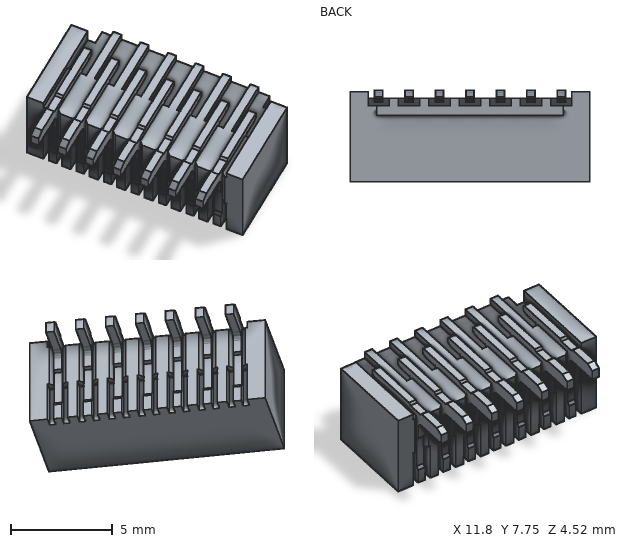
import cadquery as cq

length = 11.8
depth = 7.75
height = 4.52
contact_count = 7
pitch = 1.5

housing_front = 2.0
housing_depth = 5.0
housing_back = housing_front + housing_depth
core_height = 4.12
end_block_width = 0.9
end_block_height = 4.45
core_length = length - 2 * end_block_width

ledge_inset = 1.31
ledge_length = length - 2 * ledge_inset
ledge_bottom = 3.29

pocket_width = 1.05
pocket_front = 4.72
pocket_floor = 3.74

slot_width = 1.01
slot_height = 2.01
slot_depth = 0.57
groove_mouth_width = 0.84
groove_depth = 0.19
groove_bottom_width = groove_mouth_width - 2 * groove_depth

contact_width = 0.41
tip_slope_length = 0.4
tip_height = 4.32
arm_bottom = 3.78
notch_front = 1.72
notch_back = 2.81
notch_depth = 0.11
notch_front_slope = 0.07
notch_back_slope = 0.12
tail_end = 6.01
tail_bottom = 4.08
tail_top_radius = 0.1
tail_end_height = 0.24
tail_bottom_bevel = 0.3
root_bevel = 0.17
root_back = 4.99
leg_front = 2.02
leg_back = housing_front + slot_depth
elbow_radius = 0.31
leg_waist_offset = 0.12
waist_top = 2.68
waist_top_bevel = 0.12
waist_bottom = 0.97
waist_bottom_bevel = 0.17


def box(x_size, y_start, y_end, z_start, z_end, x_center=0.0):
    """Block centred on x_center in X, spanning the given ranges in Y and Z."""
    return (
        cq.Workplane("XY", origin=(x_center, 0, z_start))
        .moveTo(-x_size / 2, y_start)
        .lineTo(x_size / 2, y_start)
        .lineTo(x_size / 2, y_end)
        .lineTo(-x_size / 2, y_end)
        .close()
        .extrude(z_end - z_start)
    )


def end_block(side):
    x_center = side * (length - end_block_width) / 2
    return box(end_block_width, housing_front, housing_back, 0, end_block_height, x_center)


def pocket(x_center):
    return box(pocket_width, pocket_front, depth, pocket_floor, core_height, x_center)


def front_slot(x_center):
    return box(slot_width, housing_front, housing_front + slot_depth, 0, slot_height, x_center)


def front_groove(x_center):
    """Groove whose sides close in at 45 degrees from the mouth to a flat bottom."""
    return (
        cq.Workplane("XY", origin=(x_center, housing_front, slot_height))
        .moveTo(-groove_mouth_width / 2, 0)
        .lineTo(groove_mouth_width / 2, 0)
        .lineTo(groove_bottom_width / 2, groove_depth)
        .lineTo(-groove_bottom_width / 2, groove_depth)
        .close()
        .extrude(core_height - slot_height)
    )


def contact(x_center):
    """Blade with its outline in the YZ plane, going from the tip along the top and back below."""
    notch_height = height - notch_depth
    waist_front = leg_front + leg_waist_offset
    tail_end_top = height - tail_top_radius
    return (
        cq.Workplane("YZ", origin=(x_center - contact_width / 2, 0, 0))
        .moveTo(0, arm_bottom)
        .lineTo(0, tip_height)
        .lineTo(tip_slope_length, height)
        .lineTo(notch_front, height)
        .lineTo(notch_front + notch_front_slope, notch_height)
        .lineTo(notch_back - notch_back_slope, notch_height)
        .lineTo(notch_back, height)
        .lineTo(tail_end - tail_top_radius, height)
        .radiusArc((tail_end, tail_end_top), tail_top_radius)
        .lineTo(tail_end, tail_end_top - tail_end_height)
        .lineTo(tail_end - tail_bottom_bevel, tail_bottom)
        .lineTo(root_back, tail_bottom)
        .lineTo(pocket_front, tail_bottom - root_bevel)
        .lineTo(leg_back, tail_bottom - root_bevel)
        .lineTo(leg_back, 0)
        .lineTo(leg_front, 0)
        .lineTo(leg_front, waist_bottom - waist_bottom_bevel)
        .lineTo(waist_front, waist_bottom)
        .lineTo(waist_front, waist_top)
        .lineTo(leg_front, waist_top + waist_top_bevel)
        .lineTo(leg_front, arm_bottom - elbow_radius)
        .radiusArc((leg_front - elbow_radius, arm_bottom), -elbow_radius)
        .close()
        .extrude(contact_width)
    )


contact_centers = [(i - (contact_count - 1) / 2) * pitch for i in range(contact_count)]

core = box(core_length, housing_front, housing_back, 0, core_height)
ledge = box(ledge_length, housing_back, depth, ledge_bottom, core_height)
housing = core.union(ledge)
for x in contact_centers:
    housing = housing.cut(pocket(x)).cut(front_slot(x)).cut(front_groove(x))
for side in (-1, 1):
    housing = housing.union(end_block(side))

result = housing
for x in contact_centers:
    result = result.union(contact(x))